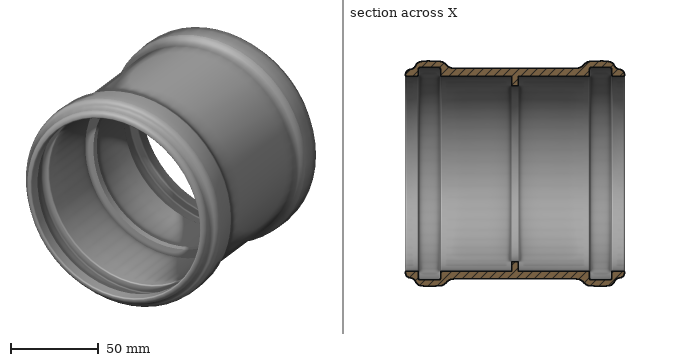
import cadquery as cq
import math

length = 125.0
half_length = length / 2
tube_radius = 120.4 / 2
bead_radius = 128.9 / 2
bore_radius = 110.9 / 2
stop_radius = 100.0 / 2
stop_width = 3.9

lip_depth = 2.7
lip_radius = 59.5
front_flank_depth = 5.9
front_flank_radius = 61.7
crown_start_depth = 9.0
crown_end_depth = 20.4
crown_edge_radius = bead_radius - 0.4
back_flank_depth = 23.5
back_flank_radius = 62.1
bead_end_depth = 27.6

groove_radius = 120.9 / 2
groove_start_depth = 7.6
groove_end_depth = 20.0
edge_round = 0.9


def at(radius, depth):
    """Profile point at a radius and a distance inward from the -Y mouth."""
    return (radius, depth - half_length)


def socket_body():
    """Solid of revolution filling the outer shape of the -Y half."""
    crown_middle_depth = (crown_start_depth + crown_end_depth) / 2

    lip_start_radius = bore_radius + edge_round
    lip_height = lip_radius - lip_start_radius
    lip_round = (lip_height**2 + lip_depth**2) / (2 * lip_depth)
    half_sweep = math.atan2(lip_depth, lip_height)
    lip_middle = at(
        lip_start_radius + lip_round * math.sin(half_sweep),
        lip_round * (1 - math.cos(half_sweep)),
    )
    return (
        cq.Workplane("XY")
        .moveTo(0, 0)
        .lineTo(tube_radius, 0)
        .lineTo(*at(tube_radius, bead_end_depth))
        .tangentArcPoint(at(back_flank_radius, back_flank_depth), relative=False)
        .tangentArcPoint(at(crown_edge_radius, crown_end_depth), relative=False)
        .threePointArc(
            at(bead_radius, crown_middle_depth),
            at(crown_edge_radius, crown_start_depth),
        )
        .tangentArcPoint(at(front_flank_radius, front_flank_depth), relative=False)
        .tangentArcPoint(at(lip_radius, lip_depth), relative=False)
        .threePointArc(lip_middle, at(lip_start_radius, 0))
        .lineTo(*at(0, 0))
        .close()
        .revolve(360, (0, 0, 0), (0, 1, 0))
    )


def socket_cavity():
    """Pipe bore and rounded seal groove of the -Y half."""
    groove_floor = groove_radius - edge_round
    groove_mouth = bore_radius + edge_round
    return (
        cq.Workplane("XY")
        .moveTo(0, 0)
        .lineTo(bore_radius, 0)
        .lineTo(*at(bore_radius, groove_end_depth + edge_round))
        .tangentArcPoint(at(groove_mouth, groove_end_depth), relative=False)
        .lineTo(*at(groove_floor, groove_end_depth))
        .tangentArcPoint(at(groove_radius, groove_end_depth - edge_round), relative=False)
        .lineTo(*at(groove_radius, groove_start_depth + edge_round))
        .tangentArcPoint(at(groove_floor, groove_start_depth), relative=False)
        .lineTo(*at(groove_mouth, groove_start_depth))
        .tangentArcPoint(at(bore_radius, groove_start_depth - edge_round), relative=False)
        .lineTo(*at(bore_radius, edge_round))
        .tangentArcPoint(at(bore_radius + edge_round, 0), relative=False)
        .lineTo(*at(0, 0))
        .close()
        .revolve(360, (0, 0, 0), (0, 1, 0))
    )


def pipe_stop():
    """Ring at mid-length that limits how far the pipes slide in."""
    return (
        cq.Workplane("XZ")
        .circle((bore_radius + tube_radius) / 2)
        .circle(stop_radius)
        .extrude(stop_width / 2, both=True)
    )


half_coupling = socket_body().cut(socket_cavity())
coupling = half_coupling.union(half_coupling.mirror("XZ")).clean()
result = coupling.union(pipe_stop())